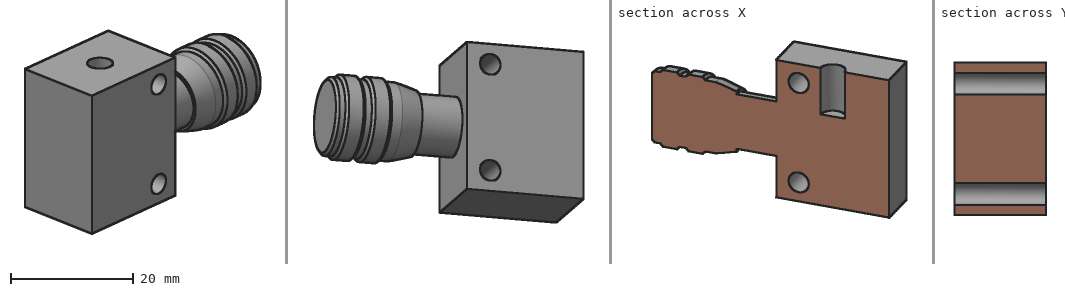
import cadquery as cq

body_width = 15.0
body_length = 20.0
body_height = 25.0
overall_length = 42.0

mount_diameter = 3.5
mount_spacing = 18.0
mount_y = 16.0

port_diameter = 4.2
port_depth = 8.4

shank_radius = 5.0
sleeve_length = 15.0
taper_radius = 5.5
taper_length = 3.75
taper_bulge = 0.1
sleeve_radius = 6.5
ring_radius = 7.0
ring_length = 3.5
ring_pitch = 4.55
first_ring_offset = 5.5
bevel = ring_radius - sleeve_radius

axis_z = body_height / 2
sleeve_start = overall_length - sleeve_length
taper_end = sleeve_start + taper_length


def make_body():
    body = cq.Workplane("XY").box(
        body_width, body_length, body_height, centered=(True, False, False)
    )
    mount_points = [(mount_y, axis_z + side * mount_spacing / 2) for side in (-1, 1)]
    mounts = (
        cq.Workplane("YZ")
        .pushPoints(mount_points)
        .circle(mount_diameter / 2)
        .extrude(body_width, both=True)
    )
    port = (
        cq.Workplane("XY", origin=(0, body_length / 2, body_height))
        .circle(port_diameter / 2)
        .extrude(-port_depth)
    )
    return body.cut(mounts).cut(port)


def add_ring(profile, start):
    """Continue the sleeve outline over one raised ring with beveled sides."""
    end = start + ring_length
    return (
        profile.lineTo(sleeve_radius, start)
        .lineTo(ring_radius, start + bevel)
        .lineTo(ring_radius, end - bevel)
        .lineTo(sleeve_radius, end)
    )


def make_connector():
    """Revolve the shank, tapered sleeve and grip rings about the Y axis."""
    taper_middle = (
        (taper_radius + sleeve_radius) / 2 + taper_bulge,
        sleeve_start + taper_length / 2,
    )
    profile = (
        cq.Workplane("XY")
        .moveTo(0, body_length)
        .lineTo(shank_radius, body_length)
        .lineTo(shank_radius, sleeve_start)
        .lineTo(taper_radius, sleeve_start)
        .threePointArc(taper_middle, (sleeve_radius, taper_end))
    )
    for index in range(2):
        profile = add_ring(profile, sleeve_start + first_ring_offset + index * ring_pitch)
    profile = (
        profile.lineTo(sleeve_radius, overall_length - bevel)
        .lineTo(sleeve_radius - bevel, overall_length)
        .lineTo(0, overall_length)
        .close()
    )
    return profile.revolve(360, (0, 0), (0, 1)).translate((0, 0, axis_z))


result = make_body().union(make_connector())